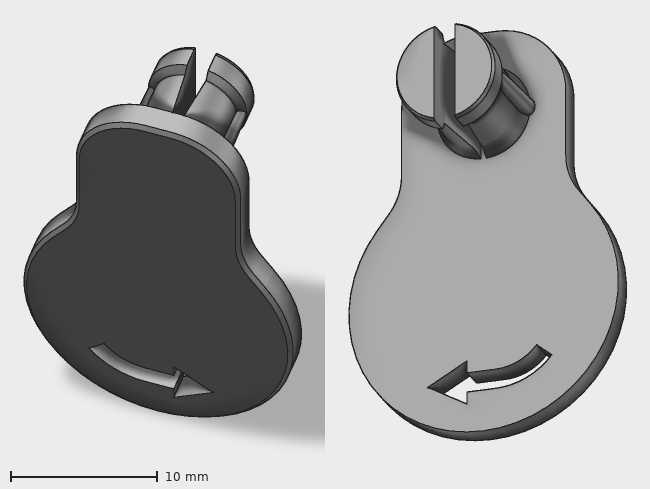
import cadquery as cq
import math


total_height = 29.25
total_depth = 10.15
plate_thickness = 2.02
disc_radius = 9.75
neck_half_width = 5.95
neck_corner_radius = 5.0
blend_radius = 4.35
blend_start_z = 9.75
plate_chamfer = 0.3
plate_top = total_height - disc_radius

pin_z = 13.64
shaft_radius = 3.0
head_radius = 3.57
head_length = 1.78
shoulder_length = 0.45
tip_chamfer_length = 0.3
tip_chamfer_depth = 0.15
flare_length = 1.38
flare_width = 0.35
shoulder_start_y = total_depth - head_length
shoulder_end_y = shoulder_start_y - shoulder_length

slot_half_width = 0.75
slot_root_half_width = 0.2

rib_root_radius = 0.7
rib_end_radius = 0.53

arrow_z = -6.03
arrow_tip_x = 4.05
arrow_head_x = 1.2
arrow_head_half_width = 1.58
arrow_band_half_width = 0.7
arrow_bend_x = -0.88
arrow_bend_radius = 4.5
arrow_bend_angle = math.radians(51)


def polar(center, radius, angle):
    """Point at a given angle on a circle, in sketch coordinates."""
    return (center[0] + radius * math.cos(angle), center[1] + radius * math.sin(angle))


def mirrored(point):
    """Point on the other side of the vertical centreline."""
    return (-point[0], point[1])


def make_plate():
    blend_center = (neck_half_width + blend_radius, blend_start_z)
    center_distance = math.hypot(*blend_center)
    center_angle = math.atan2(blend_center[1], blend_center[0])
    tangent_angle = center_angle - math.acos((disc_radius + blend_radius) / center_distance)

    corner_center = (neck_half_width - neck_corner_radius, plate_top - neck_corner_radius)
    top_end = (corner_center[0], plate_top)
    corner_mid = polar(corner_center, neck_corner_radius, math.pi / 4)
    side_top = (neck_half_width, corner_center[1])
    side_bottom = (neck_half_width, blend_start_z)
    blend_mid = polar(blend_center, blend_radius, math.pi + tangent_angle / 2)
    blend_end = polar(blend_center, blend_radius, math.pi + tangent_angle)
    disc_start = polar((0, 0), disc_radius, tangent_angle)

    outline = (
        cq.Workplane("XZ")
        .moveTo(*mirrored(top_end))
        .lineTo(*top_end)
        .threePointArc(corner_mid, side_top)
        .lineTo(*side_bottom)
        .threePointArc(blend_mid, blend_end)
        .lineTo(*disc_start)
        .threePointArc((0, -disc_radius), mirrored(disc_start))
        .lineTo(*mirrored(blend_end))
        .threePointArc(mirrored(blend_mid), mirrored(side_bottom))
        .lineTo(*mirrored(side_top))
        .threePointArc(mirrored(corner_mid), mirrored(top_end))
        .close()
    )
    return outline.extrude(-plate_thickness).faces("<Y").chamfer(plate_chamfer)


def make_arrow():
    bend_center = (arrow_bend_x, arrow_z + arrow_bend_radius)
    inner_radius = arrow_bend_radius - arrow_band_half_width
    outer_radius = arrow_bend_radius + arrow_band_half_width
    down = -math.pi / 2
    mid_angle = down - arrow_bend_angle / 2
    end_angle = down - arrow_bend_angle
    upper_z = arrow_z + arrow_band_half_width
    lower_z = arrow_z - arrow_band_half_width
    return (
        cq.Workplane("XZ")
        .moveTo(arrow_tip_x, arrow_z)
        .lineTo(arrow_head_x, arrow_z + arrow_head_half_width)
        .lineTo(arrow_head_x, upper_z)
        .lineTo(arrow_bend_x, upper_z)
        .threePointArc(
            polar(bend_center, inner_radius, mid_angle),
            polar(bend_center, inner_radius, end_angle),
        )
        .lineTo(*polar(bend_center, outer_radius, end_angle))
        .threePointArc(polar(bend_center, outer_radius, mid_angle), (arrow_bend_x, lower_z))
        .lineTo(arrow_head_x, lower_z)
        .lineTo(arrow_head_x, arrow_z - arrow_head_half_width)
        .close()
        .extrude(-plate_thickness)
    )


def make_pin_body():
    flare_radius = (flare_length**2 + flare_width**2) / (2 * flare_width)
    flare_center = (shaft_radius + flare_radius, plate_thickness + flare_length)
    flare_angle = math.asin(flare_length / flare_radius)
    return (
        cq.Workplane("XY", origin=(0, 0, pin_z))
        .moveTo(0, plate_thickness)
        .lineTo(shaft_radius + flare_width, plate_thickness)
        .threePointArc(
            polar(flare_center, flare_radius, math.pi + flare_angle / 2),
            (shaft_radius, plate_thickness + flare_length),
        )
        .lineTo(shaft_radius, shoulder_end_y)
        .lineTo(head_radius, shoulder_start_y)
        .lineTo(head_radius, total_depth - tip_chamfer_length)
        .lineTo(head_radius - tip_chamfer_depth, total_depth)
        .lineTo(0, total_depth)
        .close()
        .revolve(360, (0, 0, 0), (0, 1, 0))
    )


def make_rib(side):
    """Tapered round rib centred on the shaft surface; side is +1 or -1."""
    return cq.Solid.makeCone(
        rib_root_radius,
        rib_end_radius,
        shoulder_start_y - plate_thickness,
        pnt=cq.Vector(side * shaft_radius, plate_thickness, pin_z),
        dir=cq.Vector(0, 1, 0),
    )


def make_slot():
    slot_profile = [
        (slot_root_half_width, plate_thickness),
        (slot_half_width, shoulder_end_y),
        (slot_half_width, total_depth),
        (-slot_half_width, total_depth),
        (-slot_half_width, shoulder_end_y),
        (-slot_root_half_width, plate_thickness),
    ]
    return (
        cq.Workplane("XY", origin=(0, 0, pin_z))
        .polyline(slot_profile)
        .close()
        .extrude(2 * head_radius, both=True)
    )


pin = make_pin_body()
for side in (-1, 1):
    pin = pin.union(make_rib(side))
pin = pin.cut(make_slot())

result = make_plate().cut(make_arrow()).union(pin)